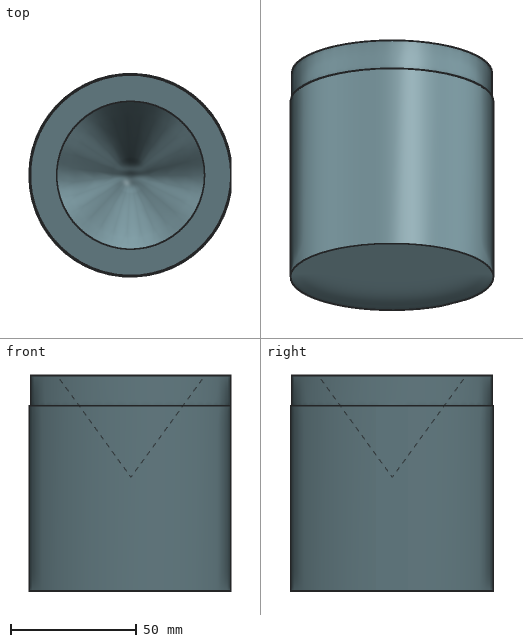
import cadquery as cq

body_diameter = 81.0
body_height = 74.0
collar_diameter = 80.0
total_height = 86.0
mouth_diameter = 59.0
cone_depth = 40.5

collar_height = total_height - body_height
flat_distance = collar_diameter / 2


def make_body():
    """Main cylinder standing on the XY plane, with a shallow flat on its +X side."""
    cylinder = cq.Workplane("XY").circle(body_diameter / 2).extrude(body_height)
    trim = (
        cq.Workplane("XY")
        .box(body_diameter, body_diameter, body_height, centered=(False, True, False))
        .translate((flat_distance, 0, 0))
    )
    return cylinder.cut(trim)


def make_collar():
    """Slightly narrower cylinder on top of the body."""
    return (
        cq.Workplane("XY")
        .workplane(offset=body_height)
        .circle(collar_diameter / 2)
        .extrude(collar_height)
    )


def make_funnel():
    """Conical recess opening at the top face and ending in a point."""
    apex = cq.Vector(0, 0, total_height - cone_depth)
    cone = cq.Solid.makeCone(0, mouth_diameter / 2, cone_depth, pnt=apex)
    return cq.Workplane(obj=cone)


result = make_body().union(make_collar()).cut(make_funnel())